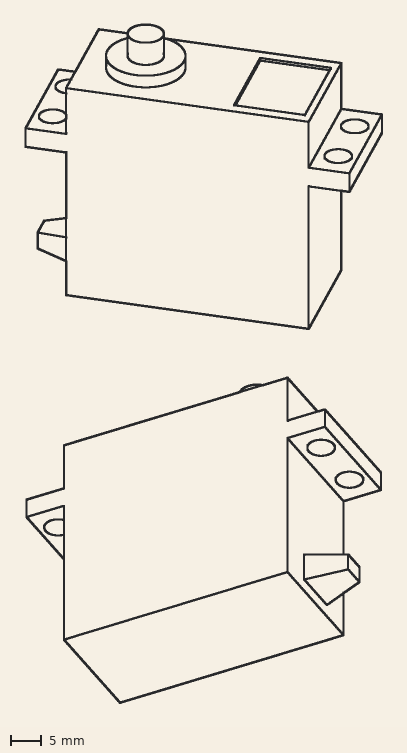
import cadquery as cq

case_length = 40.8
case_width = 19.8
case_height = 38.8

ear_length = 6.85
ear_thickness = 3.5
ear_bottom = 26.7
ear_hole_diameter = 4.5
ear_hole_edge_distance = 3.2
ear_hole_spacing = 10.0

shaft_x = 10.65
collar_diameter = 12.9
collar_height = 2.2
shaft_diameter = 5.9
shaft_height = 4.15

recess_length = 11.9
recess_width = 15.85
recess_depth = 0.5
recess_end_margin = 1.2

boot_length = 7.0
boot_center_z = 4.75
boot_base_width = 8.0
boot_base_height = 5.0
boot_tip_width = boot_base_width / 2
boot_tip_height = 3.0


def make_case():
    return cq.Workplane("XY").box(case_length, case_width, case_height, centered=(False, True, False))


def make_ears():
    """One plate through the case, with two screw holes at each end."""
    plate_length = case_length + 2 * ear_length
    hole_span = plate_length - 2 * ear_hole_edge_distance
    return (
        cq.Workplane("XY", origin=(case_length / 2, 0, ear_bottom))
        .rect(plate_length, case_width)
        .extrude(ear_thickness)
        .faces(">Z")
        .workplane()
        .rarray(hole_span, ear_hole_spacing, 2, 2)
        .hole(ear_hole_diameter)
    )


def make_output():
    return (
        cq.Workplane("XY", origin=(shaft_x, 0, case_height))
        .circle(collar_diameter / 2)
        .extrude(collar_height)
        .faces(">Z")
        .workplane()
        .circle(shaft_diameter / 2)
        .extrude(shaft_height)
    )


def make_recess():
    recess_x = case_length - recess_end_margin - recess_length / 2
    return (
        cq.Workplane("XY", origin=(recess_x, 0, case_height))
        .rect(recess_length, recess_width)
        .extrude(-recess_depth)
    )


def make_boot():
    """Loft from the case side out to the smaller rectangular tip."""
    return (
        cq.Workplane("YZ", origin=(0, 0, boot_center_z))
        .rect(boot_base_width, boot_base_height)
        .workplane(offset=-boot_length)
        .rect(boot_tip_width, boot_tip_height)
        .loft(ruled=True)
    )


result = make_case().union(make_ears()).union(make_output()).union(make_boot()).cut(make_recess())